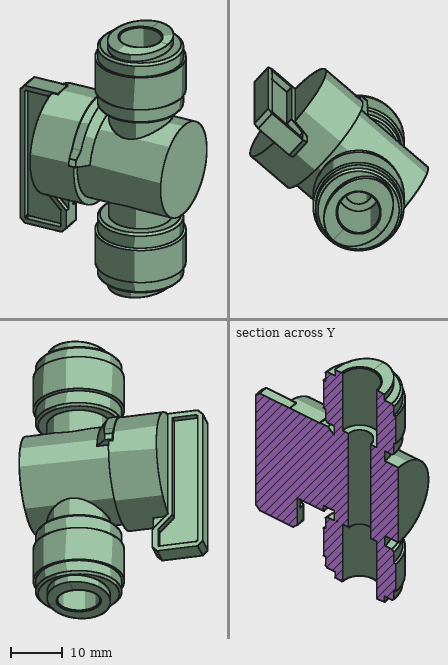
import cadquery as cq


END_Z = 26.75
BARREL_TOP_Z = 25.15
COLLAR_TOP_Z = 22.4
COLLAR_BOTTOM_Z = 15.15
BARREL_BOTTOM_Z = 12.05
BARREL_RADIUS = 8.35
BARREL_CHAMFER = 0.5
COLLAR_RADIUS = 8.85
COLLAR_BEVEL_HEIGHT = 0.25
NECK_RADIUS = 6.2

COLLET_HALF_X = 6.05
COLLET_HALF_Y = 7.5
COLLET_CROWN = 0.15

TUBE_RADIUS = 4.1
MOUTH_CHAMFER = 0.2
MOUTH_RADIUS = TUBE_RADIUS + MOUTH_CHAMFER
PORT_RADIUS = 2.7
TUBE_STOP_Z = BARREL_BOTTOM_Z

BODY_RADIUS = 9.65
BODY_END_X = 9.45
CAP_RADIUS = 11.1
CAP_FACE_X = -18.35
CAP_END_X = -8.8

FLANGE_X = -9.65
FLANGE_RADIUS = 11.25
FLANGE_CONE_END_X = -6.05
FLANGE_BOTTOM_Z = 1.55
LUG_RADIUS = 11.7
LUG_CONE_START_X = FLANGE_CONE_END_X - (LUG_RADIUS - BODY_RADIUS)
LUG_TOP_Z = 3.0
LUG_RAMP_TOP_Z = 4.75

HANDLE_LEFT_X = -25.3
HANDLE_TOE_X = -15.2
HANDLE_TOP_X = -16.95
HANDLE_BOTTOM_Z = -19.0
HANDLE_THICKNESS = 4.05
HANDLE_CHAMFER = 1.0
HANDLE_TOP_THICKNESS = 0.45
HANDLE_TOP_Z = CAP_RADIUS
ELBOW_Z = -10.95
TOE_TOP_Z = ELBOW_Z - (HANDLE_TOE_X - CAP_FACE_X)
GUSSET_THICKNESS = 2.05

RIM = 1.0
INNER_RIM = 0.9
TOE_RIM = 1.2
POCKET_DEPTH = 1.35
POCKET_CHAMFER = 0.25
POCKET_ELBOW_DROP = 0.45
POCKET_ELBOW_Z = ELBOW_Z - POCKET_ELBOW_DROP


def disc(radius, bottom_z, top_z):
    """Cylinder on the Z axis."""
    return cq.Workplane("XY").workplane(offset=bottom_z).circle(radius).extrude(top_z - bottom_z)


def x_cylinder(radius, start_x, end_x):
    """Cylinder on the X axis."""
    return cq.Workplane("YZ").workplane(offset=start_x).circle(radius).extrude(end_x - start_x)


def y_plate(outline, thickness):
    """Plate of an XZ outline, centred on Y = 0."""
    return cq.Workplane("XZ").polyline(outline).close().extrude(thickness / 2, both=True)


def make_collet():
    edge_z = END_Z - COLLET_CROWN
    oval = (
        cq.Workplane("XY").workplane(offset=BARREL_TOP_Z)
        .ellipse(COLLET_HALF_X, COLLET_HALF_Y)
        .extrude(edge_z - BARREL_TOP_Z)
    )
    crown = (
        cq.Workplane("XY").workplane(offset=edge_z)
        .ellipse(COLLET_HALF_X, COLLET_HALF_Y)
        .workplane(offset=COLLET_CROWN)
        .circle(MOUTH_RADIUS)
        .loft(ruled=True)
    )
    return oval.union(crown)


def make_fitting():
    """Upper fitting, still solid."""
    neck = disc(NECK_RADIUS, 0, BARREL_BOTTOM_Z)
    barrel = disc(BARREL_RADIUS, BARREL_BOTTOM_Z, BARREL_TOP_Z).edges().chamfer(BARREL_CHAMFER)
    collar = (
        disc(COLLAR_RADIUS, COLLAR_BOTTOM_Z, COLLAR_TOP_Z)
        .faces("<Z").edges()
        .chamfer(COLLAR_BEVEL_HEIGHT, COLLAR_RADIUS - BARREL_RADIUS)
    )
    return neck.union(barrel).union(collar).union(make_collet())


def make_tube_bore():
    """Stepped passage from the origin to the upper mouth."""
    profile = [
        (0, 0),
        (PORT_RADIUS, 0),
        (PORT_RADIUS, TUBE_STOP_Z),
        (TUBE_RADIUS, TUBE_STOP_Z),
        (TUBE_RADIUS, END_Z - MOUTH_CHAMFER),
        (MOUTH_RADIUS, END_Z),
        (0, END_Z),
    ]
    return cq.Workplane("XZ").polyline(profile).close().revolve(360, (0, 0), (0, 1))


def make_flange():
    """Coned ring cut to a half-moon, thicker at the two lugs."""
    profile = [
        (FLANGE_X, 0),
        (FLANGE_X, LUG_RADIUS),
        (LUG_CONE_START_X, LUG_RADIUS),
        (FLANGE_CONE_END_X, BODY_RADIUS),
        (FLANGE_CONE_END_X, 0),
    ]
    ring = cq.Workplane("XZ").polyline(profile).close().revolve(360, (0, 0), (1, 0))

    def y_on_circle(radius, z):
        return (radius**2 - z**2) ** 0.5

    bottom_y = y_on_circle(LUG_RADIUS, FLANGE_BOTTOM_Z)
    lug_y = y_on_circle(LUG_RADIUS, LUG_TOP_Z)
    ramp_y = y_on_circle(FLANGE_RADIUS, LUG_RAMP_TOP_Z)
    lug_middle_z = (FLANGE_BOTTOM_Z + LUG_TOP_Z) / 2
    lug_middle_y = y_on_circle(LUG_RADIUS, lug_middle_z)
    half_moon = (
        cq.Workplane("YZ").workplane(offset=FLANGE_X)
        .moveTo(-bottom_y, FLANGE_BOTTOM_Z)
        .lineTo(bottom_y, FLANGE_BOTTOM_Z)
        .threePointArc((lug_middle_y, lug_middle_z), (lug_y, LUG_TOP_Z))
        .lineTo(ramp_y, LUG_RAMP_TOP_Z)
        .threePointArc((0, FLANGE_RADIUS), (-ramp_y, LUG_RAMP_TOP_Z))
        .lineTo(-lug_y, LUG_TOP_Z)
        .threePointArc((-lug_middle_y, lug_middle_z), (-bottom_y, FLANGE_BOTTOM_Z))
        .close()
        .extrude(FLANGE_CONE_END_X - FLANGE_X)
    )
    return ring.intersect(half_moon)


def make_handle():
    outline = [
        (HANDLE_LEFT_X + HANDLE_CHAMFER, HANDLE_TOP_Z),
        (HANDLE_TOP_X, HANDLE_TOP_Z),
        (HANDLE_TOP_X, HANDLE_TOP_Z - HANDLE_TOP_THICKNESS),
        (CAP_FACE_X, HANDLE_TOP_Z - HANDLE_TOP_THICKNESS),
        (CAP_FACE_X, ELBOW_Z),
        (HANDLE_TOE_X, TOE_TOP_Z),
        (HANDLE_TOE_X, HANDLE_BOTTOM_Z + HANDLE_CHAMFER),
        (HANDLE_TOE_X - HANDLE_CHAMFER, HANDLE_BOTTOM_Z),
        (HANDLE_LEFT_X + HANDLE_CHAMFER, HANDLE_BOTTOM_Z),
        (HANDLE_LEFT_X, HANDLE_BOTTOM_Z + HANDLE_CHAMFER),
        (HANDLE_LEFT_X, HANDLE_TOP_Z - HANDLE_CHAMFER),
    ]
    blade = y_plate(outline, HANDLE_THICKNESS)

    gusset_outline = [(CAP_FACE_X, 0), (CAP_FACE_X, ELBOW_Z), (HANDLE_TOE_X, TOE_TOP_Z), (HANDLE_TOE_X, 0)]
    gusset = y_plate(gusset_outline, GUSSET_THICKNESS)

    opening = y_plate(pocket_outline(), HANDLE_THICKNESS)
    web = y_plate(pocket_outline(), HANDLE_THICKNESS - 2 * POCKET_DEPTH)
    return blade.cut(opening).union(web).union(gusset)


def pocket_outline():
    """XZ outline of the handle pockets."""
    left_x = HANDLE_LEFT_X + RIM
    right_x = CAP_FACE_X - INNER_RIM
    toe_x = HANDLE_TOE_X - TOE_RIM
    top_z = HANDLE_TOP_Z - RIM
    bottom_z = HANDLE_BOTTOM_Z + RIM
    return [
        (left_x + POCKET_CHAMFER, top_z),
        (right_x, top_z),
        (right_x, POCKET_ELBOW_Z),
        (toe_x, POCKET_ELBOW_Z - (toe_x - right_x)),
        (toe_x, bottom_z + POCKET_CHAMFER),
        (toe_x - POCKET_CHAMFER, bottom_z),
        (left_x + POCKET_CHAMFER, bottom_z),
        (left_x, bottom_z + POCKET_CHAMFER),
        (left_x, top_z - POCKET_CHAMFER),
    ]


body = x_cylinder(BODY_RADIUS, CAP_END_X, BODY_END_X)
cap = x_cylinder(CAP_RADIUS, CAP_FACE_X, CAP_END_X)
valve = body.union(cap).union(make_flange()).union(make_handle())

fitting = make_fitting()
tube_bore = make_tube_bore()
valve = valve.union(fitting).union(fitting.mirror("XY"))
valve = valve.cut(tube_bore).cut(tube_bore.mirror("XY"))

result = valve